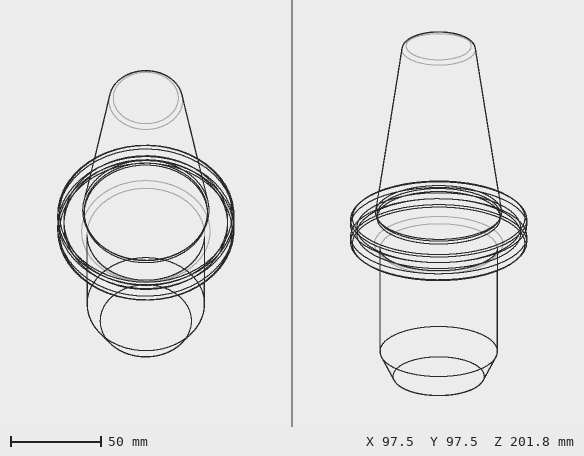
import cadquery as cq

total_height = 201.8
gauge_height = 100.0
neck_height = 98.7
flange_top = 96.8
flange_bottom = 81.0
nose_height = 15.1

gauge_radius = 69.8 / 2
neck_radius = 34.0
flange_radius = 97.5 / 2
body_radius = 65.0 / 2
nose_radius = 25.2

taper_ratio = 7 / 24
taper_top_radius = gauge_radius - (total_height - gauge_height) * taper_ratio / 2

groove_center = 89.0
groove_floor_width = 3.6
groove_depth = 3.5
groove_flank_height = 1.6

flange_chamfer = 1.0
top_round = 2.5
body_fillet = 3.0


def make_taper():
    """Taper with a rounded small end and a short bevel down to the neck."""
    taper = (
        cq.Workplane("XZ")
        .moveTo(0, flange_top)
        .lineTo(neck_radius, flange_top)
        .lineTo(neck_radius, neck_height)
        .lineTo(gauge_radius, gauge_height)
        .lineTo(taper_top_radius, total_height)
        .lineTo(0, total_height)
        .close()
        .revolve(360, (0, 0), (0, 1))
    )
    return taper.faces(">Z").edges().fillet(top_round)


def make_flange():
    """Chamfered gripper flange with a V-groove around its rim."""
    flange = (
        cq.Workplane("XY")
        .workplane(offset=flange_bottom)
        .circle(flange_radius)
        .extrude(flange_top - flange_bottom)
        .faces("<Z or >Z")
        .edges()
        .chamfer(flange_chamfer)
    )
    floor_half = groove_floor_width / 2
    mouth_half = floor_half + groove_flank_height
    floor_radius = flange_radius - groove_depth
    groove = (
        cq.Workplane("XZ")
        .moveTo(flange_radius, groove_center - mouth_half)
        .lineTo(floor_radius, groove_center - floor_half)
        .lineTo(floor_radius, groove_center + floor_half)
        .lineTo(flange_radius, groove_center + mouth_half)
        .close()
        .revolve(360, (0, 0), (0, 1))
    )
    return flange.cut(groove)


def make_body():
    """Cylindrical body with a conical nose, flared by a fillet under the flange."""
    return (
        cq.Workplane("XZ")
        .lineTo(nose_radius, 0)
        .lineTo(body_radius, nose_height)
        .lineTo(body_radius, flange_bottom - body_fillet)
        .radiusArc((body_radius + body_fillet, flange_bottom), body_fillet)
        .lineTo(0, flange_bottom)
        .close()
        .revolve(360, (0, 0), (0, 1))
    )


result = make_flange().union(make_taper()).union(make_body())